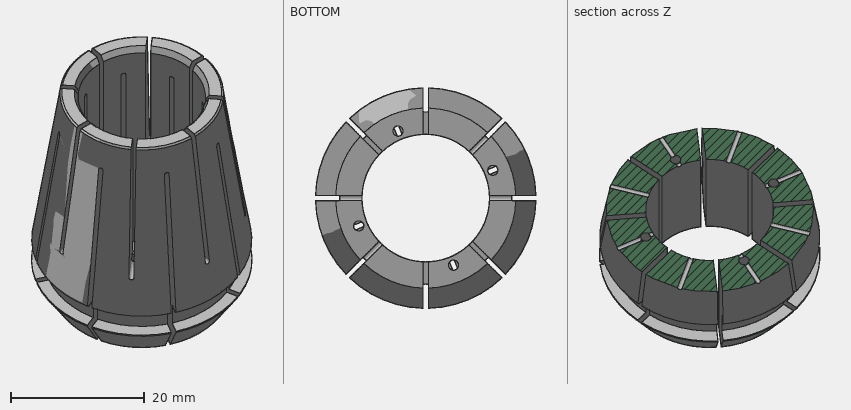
import cadquery as cq
import math

length = 40.0
max_radius = 16.5
bore_radius = 19.05 / 2

taper_angle = 8.0
top_radius = 12.2
top_edge_chamfer = 0.25
taper_edge_fillet = 0.5

groove_radius = 14.62
groove_bottom_z = 5.5
groove_top_z = 9.1
nose_angle = 30.0
nose_rim_height = 0.25

bore_lead_width = 0.57
bore_lead_angle = 30.0

slot_count = 8
slot_pitch = 360.0 / slot_count
slot_width = 0.75
slot_overshoot = 1.0
lower_slot_top_z = 35.15
upper_slot_bottom_z = 16.0

hole_count = 4
hole_diameter = 1.5
hole_circle_radius = 10.85
first_hole_angle = 1.5 * slot_pitch


def make_body():
    """Revolve the half section of the collet about Z."""
    taper_base_radius = top_radius + (length - groove_top_z) * math.tan(math.radians(taper_angle))
    nose_height = groove_bottom_z - nose_rim_height
    bottom_radius = max_radius - nose_height * math.tan(math.radians(nose_angle))
    bore_lead_depth = bore_lead_width / math.tan(math.radians(bore_lead_angle))
    section = (
        cq.Workplane("XZ")
        .moveTo(bore_radius, 0)
        .lineTo(bottom_radius, 0)
        .lineTo(max_radius, nose_height)
        .lineTo(max_radius, groove_bottom_z)
        .lineTo(groove_radius, groove_bottom_z)
        .lineTo(groove_radius, groove_top_z)
        .lineTo(taper_base_radius, groove_top_z)
        .lineTo(top_radius, length)
        .lineTo(bore_radius + bore_lead_width, length)
        .lineTo(bore_radius, length - bore_lead_depth)
        .close()
    )
    body = section.revolve(360, (0, 0, 0), (0, 1, 0))
    body = body.edges(cq.selectors.RadiusNthSelector(-1)).fillet(taper_edge_fillet)
    top_rim = body.faces(">Z").edges(cq.selectors.RadiusNthSelector(-1))
    return top_rim.chamfer(top_edge_chamfer)


def make_slot(open_z, end_z, angle):
    """Radial slot from open_z to a full-round end whose tip is at end_z."""
    reach = max_radius + slot_overshoot
    round_z = end_z - math.copysign(slot_width / 2, end_z - open_z)
    slot = (
        cq.Workplane("YZ")
        .moveTo(-slot_width / 2, open_z)
        .lineTo(-slot_width / 2, round_z)
        .threePointArc((0, end_z), (slot_width / 2, round_z))
        .lineTo(slot_width / 2, open_z)
        .close()
        .extrude(reach)
    )
    return slot.rotate((0, 0, 0), (0, 0, 1), angle)


def cut_slots(body):
    """Alternate slots open at the bottom with slots open at the top."""
    for index in range(slot_count):
        angle = index * slot_pitch
        body = body.cut(make_slot(0, lower_slot_top_z, angle))
        body = body.cut(make_slot(length, upper_slot_bottom_z, angle + slot_pitch / 2))
    return body


def cut_axial_holes(body):
    """Holes from the bottom face into the rounded ends of the upper slots."""
    holes = (
        cq.Workplane("XY")
        .polarArray(hole_circle_radius, first_hole_angle, 360, hole_count)
        .circle(hole_diameter / 2)
        .extrude(upper_slot_bottom_z + slot_width / 2)
    )
    return body.cut(holes)


result = cut_axial_holes(cut_slots(make_body()))